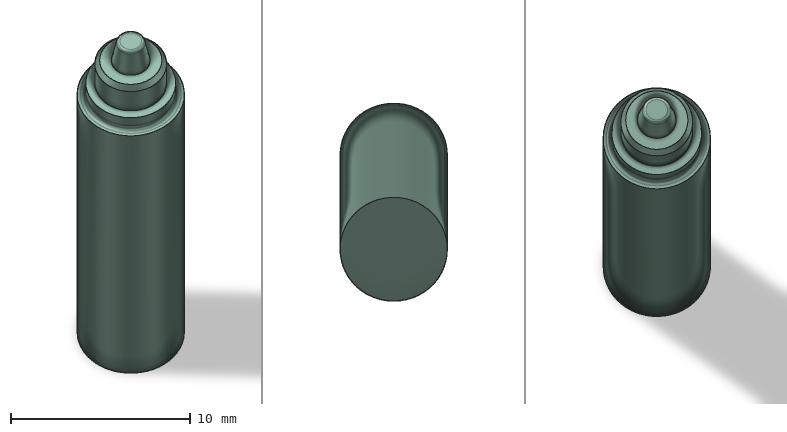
import cadquery as cq
import math

BARREL_DIAMETER = 6.0
BARREL_HEIGHT = 21.0
COLLAR_DIAMETER = 5.0
COLLAR_HEIGHT = 1.0
COLLAR_ROOT_FILLET = 0.3

BASE_DIAMETER = 4.0
BASE_TOP_DIAMETER = 3.47
BASE_HEIGHT = 2.0
BASE_CHAMFER_HEIGHT = 0.3
TIP_ROOT_DIAMETER = 2.15
TIP_END_DIAMETER = 1.55
TIP_END_FILLET = 0.2
TOTAL_HEIGHT = 25.7

COLLAR_TOP = BARREL_HEIGHT + COLLAR_HEIGHT
BASE_TOP = COLLAR_TOP + BASE_HEIGHT
TIP_HEIGHT = TOTAL_HEIGHT - BASE_TOP


def cylinder(diameter, height, bottom):
    """Upright cylinder on the Z axis, standing at the given height."""
    return cq.Workplane("XY").workplane(offset=bottom).circle(diameter / 2).extrude(height)


def make_barrel():
    """Barrel and collar, joined by a concave fillet around the collar's root."""
    body = cylinder(BARREL_DIAMETER, BARREL_HEIGHT, 0)
    collar = cylinder(COLLAR_DIAMETER, COLLAR_HEIGHT, BARREL_HEIGHT)
    shoulder = body.union(collar).faces("|Z").faces(">Z[-2]")
    collar_root = shoulder.edges(cq.selectors.RadiusNthSelector(0))
    return collar_root.fillet(COLLAR_ROOT_FILLET)


def make_nozzle_base():
    """Round base with a chamfered upper rim."""
    rim_inset = (BASE_DIAMETER - BASE_TOP_DIAMETER) / 2
    base = cylinder(BASE_DIAMETER, BASE_HEIGHT, COLLAR_TOP)
    return base.faces(">Z").chamfer(BASE_CHAMFER_HEIGHT, rim_inset)


def make_nozzle_tip():
    """Tapered tip with a rounded end."""
    taper = math.degrees(math.atan((TIP_ROOT_DIAMETER - TIP_END_DIAMETER) / 2 / TIP_HEIGHT))
    root = cq.Workplane("XY").workplane(offset=BASE_TOP).circle(TIP_ROOT_DIAMETER / 2)
    return root.extrude(TIP_HEIGHT, taper=taper).faces(">Z").edges().fillet(TIP_END_FILLET)


def make_nozzle():
    """Base and tip as one body, seated flat on the collar."""
    return make_nozzle_base().union(make_nozzle_tip())


barrel = make_barrel()
nozzle = make_nozzle()

result = cq.Compound.makeCompound([barrel.val(), nozzle.val()])